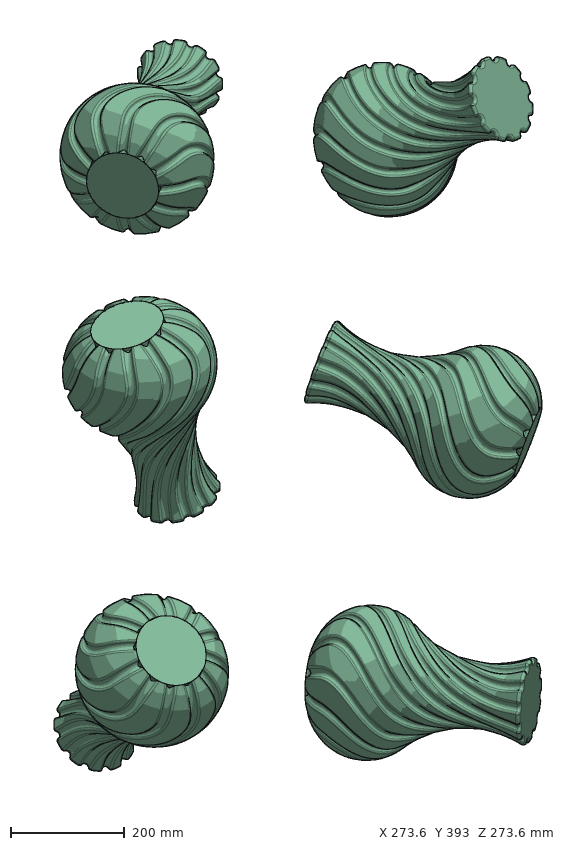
import cadquery as cq
import math


HEIGHT = 393.0
BULB_RADIUS = 136.8
BULB_Y = 98.3
BULB_ARC = 103.5
WAIST_RADIUS = 59.0
WAIST_Y = 302.5
RIM_ROUND = 4.7

GROOVES = 12
FLOOR_RADIUS = 8.0
EDGE_ROUND = 4.7
SLANT_WIDENING = 0.4
FOOT_BLEND = 4.7
BLEND_OVERLAP = 0.2

TWIST = math.radians(165.0)
TWIST_START_Y = 33.5
TWIST_END_Y = 366.5

LOFT_START_Y = -3.5
LOFT_END_Y = 416.5
FOOT_FADE = 15.7
BULB_SECTIONS = 48
NECK_SECTIONS = 90
STRIP_STEPS = [0, 0.25, 0.5, 0.75, 1]

bulb_center = BULB_RADIUS - BULB_ARC
rise = WAIST_Y - BULB_Y
waist_offset = WAIST_RADIUS - bulb_center
neck_arc = (waist_offset**2 + rise**2 - BULB_ARC**2) / (2 * (BULB_ARC - waist_offset))
neck_center = WAIST_RADIUS + neck_arc
shoulder_angle = math.asin(rise / (BULB_ARC + neck_arc))


def bulb_radius_at(y):
    return bulb_center + math.sqrt(BULB_ARC**2 - (y - BULB_Y) ** 2)


foot_radius = bulb_radius_at(0)
loft_start_radius = bulb_radius_at(LOFT_START_Y)

half_width = math.sqrt((FLOOR_RADIUS + EDGE_ROUND) ** 2 - EDGE_ROUND**2)
flank_angle = math.acos(EDGE_ROUND / (FLOOR_RADIUS + EDGE_ROUND))


def edge_round_point(angle):
    return half_width - EDGE_ROUND * math.sin(angle), EDGE_ROUND * (1 - math.cos(angle))


def floor_point(angle):
    return FLOOR_RADIUS * math.sin(angle), FLOOR_RADIUS * math.cos(angle)


right_round = [edge_round_point(flank_angle * (1 - t)) for t in STRIP_STEPS]
left_round = [(-across, depth) for across, depth in reversed(right_round)]
groove_floor = [floor_point(flank_angle * (2 * t - 1)) for t in STRIP_STEPS]


def smoothstep(t):
    t = min(max(t, 0.0), 1.0)
    return t * t * (3 - 2 * t)


def twist_at(y):
    return TWIST * smoothstep((y - TWIST_START_Y) / (TWIST_END_Y - TWIST_START_Y))


def twist_rate(y):
    span = TWIST_END_Y - TWIST_START_Y
    t = min(max((y - TWIST_START_Y) / span, 0.0), 1.0)
    return TWIST * 6 * t * (1 - t) / span


def groove_strength(r, y):
    """1 over the height of the vase, fading to 0 at both ends of the loft."""
    if y > HEIGHT:
        return smoothstep((LOFT_END_Y - y) / (LOFT_END_Y - HEIGHT))
    if y < BULB_Y:
        return smoothstep((r - loft_start_radius) / FOOT_FADE)
    return 1.0


def meridian_stations():
    """Radius, height and outward normal (radial, axial) at each section of the wall."""
    stations = []
    start_angle = math.asin((LOFT_START_Y - BULB_Y) / BULB_ARC)
    for i in range(BULB_SECTIONS):
        angle = start_angle + (shoulder_angle - start_angle) * i / BULB_SECTIONS
        radial, axial = math.cos(angle), math.sin(angle)
        stations.append((bulb_center + BULB_ARC * radial, BULB_Y + BULB_ARC * axial, radial, axial))
    end_angle = math.asin((LOFT_END_Y - WAIST_Y) / neck_arc)
    for i in range(NECK_SECTIONS + 1):
        angle = -shoulder_angle + (end_angle + shoulder_angle) * i / NECK_SECTIONS
        radial, axial = math.cos(angle), -math.sin(angle)
        stations.append((neck_center - neck_arc * radial, WAIST_Y - neck_arc * axial, radial, axial))
    return stations


def wall_section(r, y, radial, axial):
    """Closed wire around the wall: per groove two edge rounds and a floor, then a land."""
    strength = groove_strength(r, y)
    slant = math.hypot(1, r * twist_rate(y) * radial)
    widening = 1 + SLANT_WIDENING * (slant - 1)
    pitch = 2 * math.pi / GROOVES * r / widening

    def wall_point(across, depth):
        angle = twist_at(y) + across * widening / r
        inset = r - strength * depth * radial
        return cq.Vector(inset * math.sin(angle), y - strength * depth * axial, inset * math.cos(angle))

    land_width = pitch - 2 * half_width
    land = [(half_width + land_width * t, 0) for t in STRIP_STEPS]
    edges = []
    for groove in range(GROOVES):
        for strip in (left_round, groove_floor, right_round, land):
            points = [wall_point(across + groove * pitch, depth) for across, depth in strip]
            edges.append(cq.Edge.makeSpline(points, parameters=STRIP_STEPS))
    return cq.Wire.assembleEdges(edges)


def grooved_wall():
    sections = [wall_section(*station) for station in meridian_stations()]
    envelope = cq.Workplane("XZ").circle(2 * BULB_RADIUS).extrude(-HEIGHT)
    return cq.Workplane(cq.Solid.makeLoft(sections)).intersect(envelope)


def foot():
    """Round plug that closes the lower groove ends and blends into their floors."""
    blend_r = foot_radius + FOOT_BLEND
    from_bulb = blend_r - bulb_center
    reach = BULB_ARC - FLOOR_RADIUS + FOOT_BLEND
    blend_y = BULB_Y - math.sqrt(reach**2 - from_bulb**2) + BLEND_OVERLAP
    floor_angle = math.atan2(BULB_Y - blend_y, -from_bulb)

    def blend_point(angle):
        return blend_r + FOOT_BLEND * math.cos(angle), blend_y + FOOT_BLEND * math.sin(angle)

    blend_end = blend_point(floor_angle)
    return (
        cq.Workplane("XY")
        .lineTo(foot_radius, 0)
        .lineTo(foot_radius, blend_y)
        .threePointArc(blend_point((math.pi + floor_angle) / 2), blend_end)
        .lineTo(0, blend_end[1])
        .close()
        .revolve(360, (0, 0, 0), (0, 1, 0))
    )


vase = grooved_wall().union(foot())
result = vase.faces(">Y").edges().fillet(RIM_ROUND)